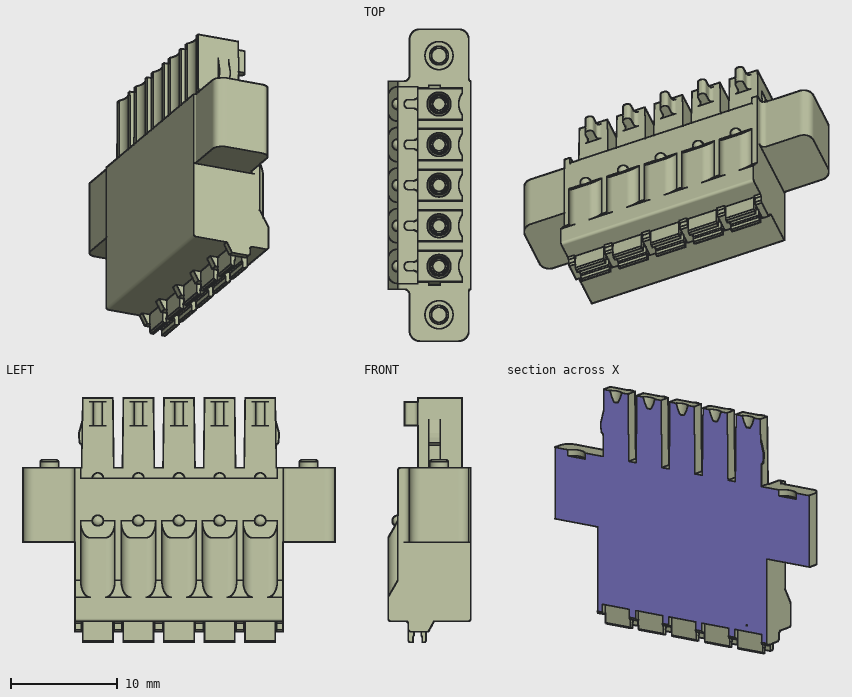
import cadquery as cq
import math


pole_count = 5
pole_pitch = 3.8
pole_ys = [(i - (pole_count - 1) / 2) * pole_pitch for i in range(pole_count)]
end_pole_y = pole_ys[-1]

housing_depth = 7.75
housing_width = 19.5
housing_bottom = 1.95
housing_top = 16.37
upper_front_x = 0.9
slope = math.radians(60)
slope_rise = upper_front_x * math.tan(slope)
slope_foot = 4.25
bottom_edge_radius = 0.25
top_edge_radius = 0.3

ledge_z = 15.35
ledge_back_x = 2.78

rib_width = 3.22
rib_corner_radius = 0.88
rib_top = 11.37

ball_radius = 0.53

overall_width = 29.25
ear_front_x = 2.0
ear_back_x = 7.57
ear_bottom = 9.4
ear_corner_radius = 1.0
ear_root_radius = 0.5
ear_back_root_radius = housing_depth - ear_back_x
screw_x = 4.77
screw_y = 12.13
screw_hole_radius = 1.32
screw_hole_depth = 0.58
screw_radius = 0.88
screw_top = 17.1
screw_chamfer = 0.18

tower_back_x = 6.93
tower_top = 22.9
tower_top_width = 2.85
tower_base_width = 3.0
groove_half_width = 1.0
groove_depth = 0.32

bore_x = screw_x
bore_mouth_radius = 1.1
bore_floor_radius = 0.9
bore_depth = 1.05
pit_mouth_radius = 0.75
pit_floor_radius = 0.58
pit_depth = 0.12

lug_front_x = 1.52
lug_width = 0.82
lug_radius = 0.35
lug_bottom = 20.3
lug_top = 22.51

latch_front_x = 3.8
latch_width = 1.08
latch_top = 20.95
latch_ramp_bottom = 19.62
latch_crest_bottom = 19.18
latch_lip_bottom = 18.68
latch_bottom = 18.48
latch_height = 0.35
latch_lip_height = 0.3
latch_strip_height = 0.1

divider_width = 0.75
divider_bottom = 1.0
divider_front_x = 1.9
divider_back_top_x = 4.3
divider_back_bottom_x = 3.77
divider_edge_size = 0.18
contact_width = 2.87
contact_tip_chamfer = 0.15
front_contact_x = 1.87
front_contact_root = 0.55
front_contact_tip = 0.47
rear_contact_x = 3.57
rear_contact_root = 0.47
rear_contact_tip = 0.38
contact_step_top = 0.67
contact_step_bottom = 0.5
root_overlap = 0.3


def box(x0, x1, y_mid, width, z0, z1):
    """Block between two X and two Z planes, centred on y_mid."""
    return cq.Workplane("XY").box(x1 - x0, width, z1 - z0, centered=(False, True, False)).translate(
        (x0, y_mid, z0)
    )


def side_prism(points, y_mid, width):
    """Closed X-Z outline extruded along Y, centred on y_mid."""
    return cq.Workplane("XZ", origin=(0, y_mid, 0)).polyline(points).close().extrude(width / 2, both=True)


def make_housing():
    profile = [
        (0, housing_bottom),
        (0, slope_foot),
        (upper_front_x, slope_foot + slope_rise),
        (upper_front_x, housing_top),
        (housing_depth, housing_top),
        (housing_depth, housing_bottom),
    ]
    housing = side_prism(profile, 0, housing_width)
    housing = housing.edges("|Y and <Z").fillet(bottom_edge_radius)
    housing = housing.edges("|Y and >Z").edges("<X").fillet(top_edge_radius)
    ledge_width = 2 * end_pole_y + rib_width
    return housing.cut(box(0, ledge_back_x, 0, ledge_width, ledge_z, housing_top))


def make_rib(y):
    rib = box(0, 2 * upper_front_x, y, rib_width, slope_foot, rib_top)
    rib = rib.edges("|Z and <X").fillet(rib_corner_radius)
    sloped_end = [(0, rib_top - slope_rise), (0, rib_top), (upper_front_x, rib_top)]
    return rib.cut(side_prism(sloped_end, y, rib_width))


def make_balls(y):
    ball = cq.Workplane("XY").sphere(ball_radius)
    lower = ball.translate((upper_front_x, y, rib_top))
    upper = ball.translate((ledge_back_x, y, ledge_z))
    return lower.union(upper)


def make_ear(side):
    """Mounting ear with its screw; side is +1 or -1 along Y."""
    root_y = side * housing_width / 2
    tip_y = side * overall_width / 2
    inner_y = root_y - side * root_overlap
    front_root_x = ear_front_x - ear_root_radius
    arc_reach = 1 - math.sqrt(0.5)
    front_reach = ear_root_radius * arc_reach
    back_reach = ear_back_root_radius * arc_reach
    ear = (
        cq.Workplane("XY", origin=(0, 0, housing_top))
        .moveTo(front_root_x, root_y)
        .threePointArc(
            (ear_front_x - front_reach, root_y + side * front_reach),
            (ear_front_x, root_y + side * ear_root_radius),
        )
        .lineTo(ear_front_x, tip_y)
        .lineTo(ear_back_x, tip_y)
        .lineTo(ear_back_x, root_y + side * ear_back_root_radius)
        .threePointArc(
            (ear_back_x + back_reach, root_y + side * back_reach),
            (housing_depth, root_y),
        )
        .lineTo(housing_depth, inner_y)
        .lineTo(front_root_x, inner_y)
        .close()
        .extrude(ear_bottom - housing_top)
    )
    ear = ear.edges("|Z").edges(">Y" if side > 0 else "<Y").fillet(ear_corner_radius)
    hole_floor = housing_top - screw_hole_depth
    hole = (
        cq.Workplane("XY", origin=(screw_x, side * screw_y, hole_floor))
        .circle(screw_hole_radius)
        .extrude(screw_hole_depth)
    )
    screw = (
        cq.Workplane("XY", origin=(screw_x, side * screw_y, hole_floor - root_overlap))
        .circle(screw_radius)
        .extrude(screw_top - hole_floor + root_overlap)
        .faces(">Z")
        .chamfer(screw_chamfer)
    )
    return ear.cut(hole).union(screw)


def make_tower(y):
    half_top = tower_top_width / 2
    half_base = tower_base_width / 2
    front_outline = [
        (y - half_base, ledge_z),
        (y - half_base, housing_top),
        (y - half_top, tower_top),
        (y + half_top, tower_top),
        (y + half_base, housing_top),
        (y + half_base, ledge_z),
    ]
    tower = (
        cq.Workplane("YZ", origin=(ledge_back_x, 0, 0))
        .polyline(front_outline)
        .close()
        .extrude(tower_back_x - ledge_back_x)
    )
    groove = (
        cq.Workplane("XY", origin=(0, y, housing_top))
        .moveTo(tower_back_x, -groove_half_width)
        .threePointArc((tower_back_x - groove_depth, 0), (tower_back_x, groove_half_width))
        .close()
        .extrude(tower_top - housing_top)
    )
    bore_floor = tower_top - bore_depth
    pit_floor = bore_floor - pit_depth
    bore_outline = [
        (0, pit_floor),
        (pit_floor_radius, pit_floor),
        (pit_mouth_radius, bore_floor),
        (bore_floor_radius, bore_floor),
        (bore_mouth_radius, tower_top),
        (0, tower_top),
    ]
    bore = cq.Workplane("XZ").polyline(bore_outline).close().revolve(360, (0, 0, 0), (0, 1, 0))
    return tower.cut(groove).cut(bore.translate((bore_x, y, 0))).union(make_lug(y))


def make_lug(y):
    """Vertical bar with a rounded nose and concave flares where it meets the tower."""
    root_x = ledge_back_x + root_overlap
    lug = box(lug_front_x, root_x, y, lug_width, lug_bottom, lug_top)
    lug = lug.edges("|Z and <X").fillet(lug_radius)
    flare_width = lug_width + 2 * lug_radius
    flare = box(ledge_back_x - lug_radius, root_x, y, flare_width, lug_bottom, lug_top)
    for side in (-1, 1):
        scoop = (
            cq.Workplane("XY", origin=(ledge_back_x - lug_radius, y + side * flare_width / 2, lug_bottom))
            .circle(lug_radius)
            .extrude(lug_top - lug_bottom)
        )
        flare = flare.cut(scoop)
    return lug.union(flare)


def make_latch():
    """Snap bump and strip on the +Y side of the last tower."""
    face_y = end_pole_y + tower_top_width / 2
    outline = [
        (face_y, latch_top),
        (face_y + latch_height, latch_ramp_bottom),
        (face_y + latch_height, latch_crest_bottom),
        (face_y + latch_lip_height, latch_lip_bottom),
        (face_y + latch_strip_height, latch_bottom),
        (end_pole_y + tower_base_width / 2, housing_top),
        (end_pole_y + tower_base_width / 2, ledge_z),
        (end_pole_y, ledge_z),
        (end_pole_y, latch_top),
    ]
    return (
        cq.Workplane("YZ", origin=(latch_front_x, 0, 0)).polyline(outline).close().extrude(latch_width)
    )


def make_divider(y, width):
    """Wedge between contacts; its front edges are bevelled, outwards at the root and inwards below."""
    outline = [
        (divider_front_x - divider_edge_size, housing_bottom + root_overlap),
        (divider_front_x - divider_edge_size, housing_bottom),
        (divider_front_x, housing_bottom - divider_edge_size),
        (divider_front_x, divider_bottom),
        (divider_back_bottom_x, divider_bottom),
        (divider_back_top_x, housing_bottom),
        (divider_back_top_x, housing_bottom + root_overlap),
    ]
    divider = side_prism(outline, y, width)
    return divider.edges("|Y and <Z").edges("<X").chamfer(divider_edge_size)


def make_contact(y, outer_x, inward, root, tip):
    """Flat contact blade that thins on its inner side; inward is the X direction of that side."""
    outline = [
        (outer_x, housing_bottom + root_overlap),
        (outer_x, contact_tip_chamfer),
        (outer_x + inward * contact_tip_chamfer, 0),
        (outer_x + inward * tip, 0),
        (outer_x + inward * tip, contact_step_bottom),
        (outer_x + inward * root, contact_step_top),
        (outer_x + inward * root, housing_bottom + root_overlap),
    ]
    return side_prism(outline, y, contact_width)


result = make_housing()

for side in (-1, 1):
    result = result.union(make_ear(side))

for pole_y in pole_ys:
    result = result.union(make_rib(pole_y))
    result = result.union(make_tower(pole_y))
    result = result.union(make_balls(pole_y))
    result = result.union(make_contact(pole_y, front_contact_x, 1, front_contact_root, front_contact_tip))
    result = result.union(make_contact(pole_y, rear_contact_x, -1, rear_contact_root, rear_contact_tip))

for lower_y, upper_y in zip(pole_ys, pole_ys[1:]):
    result = result.union(make_divider((lower_y + upper_y) / 2, divider_width))

inner_edge_y = end_pole_y + pole_pitch / 2 - divider_width / 2
end_divider_width = housing_width / 2 - inner_edge_y
end_divider_y = inner_edge_y + end_divider_width / 2
for side in (-1, 1):
    result = result.union(make_divider(side * end_divider_y, end_divider_width))

latch = make_latch()
result = result.union(latch).union(latch.mirror("XZ")).clean()